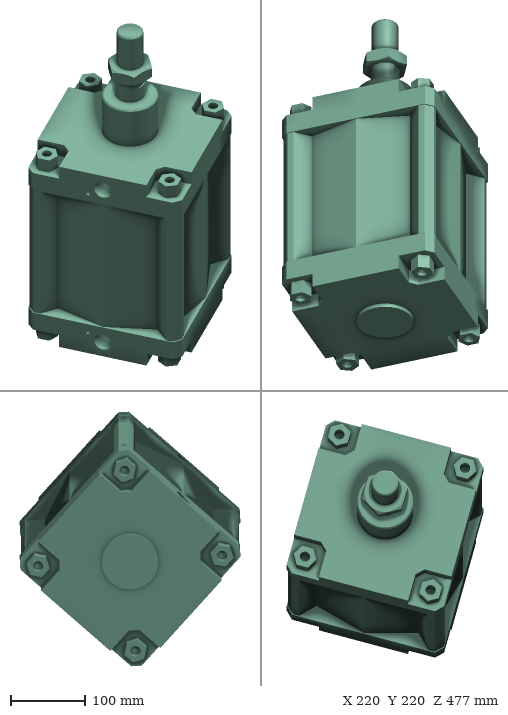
import cadquery as cq
import math

z_axis = ((0, 0, 0), (0, 0, 1))

hex_half_angle = math.radians(30)

total_height = 477.0
rear_boss_height = 5.2
cap_height = 48.5
cap_gap = 207.0
front_boss_height = 60.5
rear_cap_outer_z = rear_boss_height
rear_cap_inner_z = rear_cap_outer_z + cap_height
front_cap_inner_z = rear_cap_inner_z + cap_gap
front_cap_outer_z = front_cap_inner_z + cap_height
front_boss_top_z = front_cap_outer_z + front_boss_height

cap_width = 220.0
cap_half = cap_width / 2
corner_chamfer = 10.0
pocket_size = 47.5
pocket_depth = 20.0
pocket_chamfer = corner_chamfer
boss_diameter = 76.0
boss_chamfer = 2.0

barrel_half = 108.8
barrel_corner_chamfer = corner_chamfer
pad_inner_edge = 90.0
groove_depth = 19.0

tie_offset = 88.0
tie_nut_flats = 27.0
tie_hole_diameter = 14.0
tie_hole_depth = pocket_depth
drill_point_angle = 118.0

port_diameter = 25.0
port_depth = 28.5
port_inset = 24.0
screw_hole_diameter = 5.5
screw_hole_depth = 9.5
screw_hole_offset = 21.0
screw_hole_inset = 35.0

rod_diameter = 39.5
thread_diameter = 36.0
rod_tip_chamfer = 2.0
flat_bottom_z = 391.0
rod_flats = 36.0
rod_turn = 6.5

nut_flats = 55.0
nut_height = 18.0
nut_bottom_z = 405.0
nut_chamfer_angle = 30.0


def hexagon_prism(across_flats, height):
    """Hexagonal prism on Z = 0 with two corners on the X axis."""
    across_corners = across_flats / math.cos(hex_half_angle)
    return cq.Workplane("XY").polygon(6, across_corners).extrude(height)


def corner_pocket():
    """Cutter for the +X +Y corner, from Z = 0 up by the pocket depth."""
    centre = cap_half - pocket_size / 2
    cutter = cq.Workplane("XY").rect(pocket_size, pocket_size).extrude(pocket_depth)
    return cutter.edges("|Z and <X and <Y").chamfer(pocket_chamfer).translate((centre, centre, 0))


def tie_nut():
    """Nut at the +X +Y corner, from Z = 0 up, and the cutter for its drilled blind hole."""
    radius = tie_hole_diameter / 2
    point_height = radius / math.tan(math.radians(drill_point_angle / 2))
    floor_z = pocket_depth - tie_hole_depth
    drill = (
        cq.Workplane("XZ")
        .moveTo(0, floor_z - point_height)
        .lineTo(radius, floor_z)
        .lineTo(radius, pocket_depth)
        .lineTo(0, pocket_depth)
        .close()
        .revolve(360, (0, 0), (0, 1))
    )
    nut = hexagon_prism(tie_nut_flats, pocket_depth).translate((tie_offset, tie_offset, 0))
    return nut, drill.translate((tie_offset, tie_offset, 0))


def front_hole(diameter, depth, x, z):
    """Cutter for a flat-bottomed hole in the -Y face of a cap."""
    return cq.Workplane("XZ", origin=(x, -cap_half, z)).circle(diameter / 2).extrude(-depth)


def cap():
    """End cap with its inner face on Z = 0 and its outer face up."""
    body = cq.Workplane("XY").rect(cap_width, cap_width).extrude(cap_height)
    body = body.edges("|Z").chamfer(corner_chamfer)
    floor_z = cap_height - pocket_depth
    pocket = corner_pocket().translate((0, 0, floor_z))
    nut, drill = (shape.translate((0, 0, floor_z)) for shape in tie_nut())
    for corner in range(4):
        angle = 90 * corner
        body = body.cut(pocket.rotate(*z_axis, angle))
        body = body.union(nut.rotate(*z_axis, angle))
        body = body.cut(drill.rotate(*z_axis, angle))
    body = body.cut(front_hole(port_diameter, port_depth, 0, cap_height - port_inset))
    screw_hole_z = cap_height - screw_hole_inset
    return body.cut(front_hole(screw_hole_diameter, screw_hole_depth, -screw_hole_offset, screw_hole_z))


def barrel():
    """Barrel between the caps, with a shallow ridge and two grooves on each side."""
    pad_outer_edge = barrel_half - barrel_corner_chamfer
    groove_edge = pad_inner_edge - groove_depth
    groove_floor = barrel_half - groove_depth
    side = [
        (-pad_outer_edge, -barrel_half),
        (-pad_inner_edge, -barrel_half),
        (-groove_edge, -groove_floor),
        (0, -barrel_half),
        (groove_edge, -groove_floor),
        (pad_inner_edge, -barrel_half),
        (pad_outer_edge, -barrel_half),
    ]
    outline = []
    for _ in range(4):
        outline += side
        side = [(-y, x) for x, y in side]
    return cq.Workplane("XY").workplane(offset=rear_cap_inner_z).polyline(outline).close().extrude(cap_gap)


def make_housing():
    """Barrel with a cap and a round boss at each end."""
    front_cap = cap().translate((0, 0, front_cap_inner_z))
    rear_cap = cap().mirror("XY").translate((0, 0, rear_cap_inner_z))
    front_boss = (
        cq.Workplane("XY")
        .workplane(offset=front_cap_outer_z)
        .circle(boss_diameter / 2)
        .extrude(front_boss_height)
        .faces(">Z")
        .chamfer(boss_chamfer)
    )
    rear_boss = cq.Workplane("XY").circle(boss_diameter / 2).extrude(rear_boss_height)
    return barrel().union(front_cap).union(rear_cap).union(front_boss).union(rear_boss)


def make_rod():
    """Rod standing on the front boss, with wrench flats below the thread."""
    shank_height = nut_bottom_z - front_boss_top_z
    shank = cq.Workplane("XY").circle(rod_diameter / 2).extrude(shank_height)
    shank = shank.translate((0, 0, front_boss_top_z))
    flats = (
        cq.Workplane("XY")
        .workplane(offset=flat_bottom_z)
        .rect(3 * rod_diameter, 3 * rod_diameter)
        .rect(rod_flats, 2 * rod_diameter)
        .extrude(nut_bottom_z - flat_bottom_z)
    )
    thread = (
        cq.Workplane("XY")
        .workplane(offset=nut_bottom_z)
        .circle(thread_diameter / 2)
        .extrude(total_height - nut_bottom_z)
        .faces(">Z")
        .chamfer(rod_tip_chamfer)
    )
    turned_flats = flats.rotate(*z_axis, -rod_turn)
    return shank.cut(turned_flats).union(thread)


def make_rod_nut():
    """Hexagon nut on the thread, corners chamfered at both ends."""
    flat_radius = nut_flats / 2
    corner_radius = flat_radius / math.cos(hex_half_angle)
    chamfer_height = (corner_radius - flat_radius) * math.tan(math.radians(nut_chamfer_angle))
    envelope = (
        cq.Workplane("XZ")
        .moveTo(0, 0)
        .lineTo(flat_radius, 0)
        .lineTo(corner_radius, chamfer_height)
        .lineTo(corner_radius, nut_height - chamfer_height)
        .lineTo(flat_radius, nut_height)
        .lineTo(0, nut_height)
        .close()
        .revolve(360, (0, 0), (0, 1))
    )
    bore = cq.Workplane("XY").circle(thread_diameter / 2).extrude(nut_height)
    nut = hexagon_prism(nut_flats, nut_height).intersect(envelope).cut(bore)
    return nut.translate((0, 0, nut_bottom_z))


housing = make_housing()
rod = make_rod()
rod_nut = make_rod_nut()

result = cq.Compound.makeCompound([housing.val(), rod.val(), rod_nut.val()])